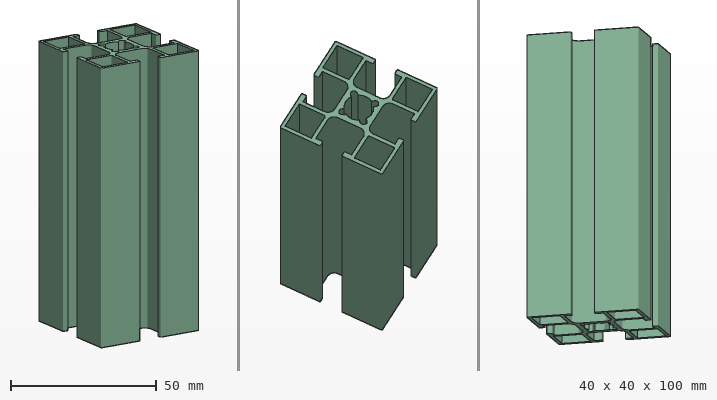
import cadquery as cq
import math

width = 40.0
length = 100.0
outer_radius = 0.5

slot_opening = 8.4
slot_inner_width = 14.0
slot_floor_radius = 2.6
lip_thickness = 2.0
lip_end_radius = 0.3

core_width = 14.0

outer_wall = 1.35
inner_wall = 1.4
chamber_radius = 0.5

bore_diameter = 10.2
groove_width = 2.4
groove_tip_offset = 4.15

half_width = width / 2
slot_bottom = core_width / 2
slot_depth = half_width - slot_bottom
cavity_depth = slot_depth - lip_thickness
chamber_start = slot_inner_width / 2 + inner_wall
chamber_size = half_width - outer_wall - chamber_start
chamber_center = chamber_start + chamber_size / 2

quadrants = [(1, 1), (-1, 1), (-1, -1), (1, -1)]


def make_bar():
    """Solid square bar with rounded long edges."""
    bar = cq.Workplane("XY").rect(width, width).extrude(length)
    return bar.edges("|Z").fillet(outer_radius)


def make_slot():
    """Cutter for the +Y side: a wide cavity behind an opening between two lips."""
    cavity = (
        cq.Workplane("XY")
        .center(0, slot_bottom + cavity_depth / 2)
        .rect(slot_inner_width, cavity_depth)
        .extrude(length)
        .edges("|Z and <Y")
        .fillet(slot_floor_radius)
    )
    opening = (
        cq.Workplane("XY")
        .center(0, slot_bottom + slot_depth / 2)
        .rect(slot_opening, slot_depth)
        .extrude(length)
    )
    return cavity.union(opening)


def cut_four_times(bar, cutter):
    """Cut with the cutter turned to each of the four quarter positions about the axis."""
    for quarter in range(4):
        bar = bar.cut(cutter.rotate((0, 0, 0), (0, 0, 1), 90 * quarter))
    return bar


def round_lip_ends(bar):
    """Round the inner and outer edge at the free end of every lip."""
    lip_end = slot_opening / 2
    for x, y in quadrants:
        for lip_face in (half_width - lip_thickness, half_width):
            for across, along in ((lip_end, lip_face), (lip_face, lip_end)):
                edge_middle = (x * across, y * along, length / 2)
                nearest = cq.selectors.NearestToPointSelector(edge_middle)
                bar = bar.edges("|Z").edges(nearest).fillet(lip_end_radius)
    return bar


def make_chamber():
    """Cutter for the hollow of the +X +Y corner."""
    return (
        cq.Workplane("XY")
        .center(chamber_center, chamber_center)
        .rect(chamber_size, chamber_size)
        .extrude(length)
        .edges("|Z")
        .edges("<(1, 1, 0)")
        .fillet(chamber_radius)
    )


def cut_bore(bar):
    """Cut the bore and two crossed slots whose round ends form the four grooves."""
    bore = cq.Workplane("XY").circle(bore_diameter / 2).extrude(length)
    tip_span = 2 * groove_tip_offset * math.sqrt(2)
    for angle in (45, 135):
        groove_pair = (
            cq.Workplane("XY")
            .slot2D(tip_span + groove_width, groove_width, angle)
            .extrude(length)
        )
        bore = bore.union(groove_pair)
    return bar.cut(bore)


bar = make_bar()
bar = cut_four_times(bar, make_slot())
bar = round_lip_ends(bar)
bar = cut_four_times(bar, make_chamber())
result = cut_bore(bar)